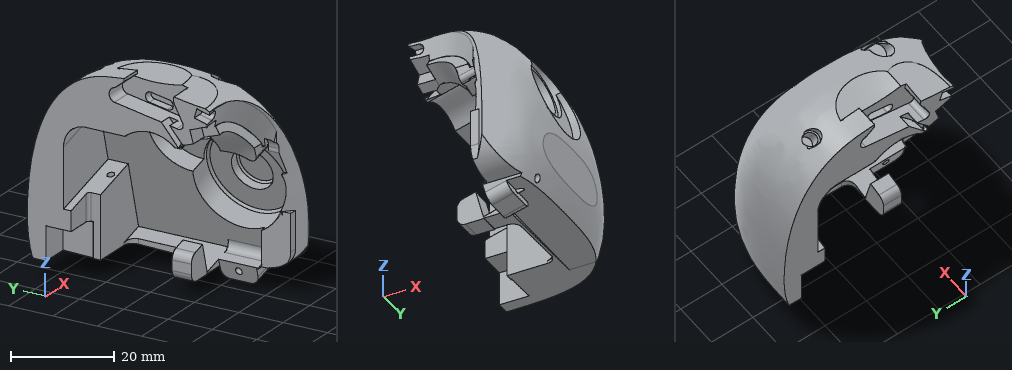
import cadquery as cq
import math

REACH = 60.0

HALF_WIDTH = 27.95
SIDE_CAP = 0.985
BACK, FRONT = 25.4, 29.3
WAIST_Z = -10.5
CROWN, BELLY = 33.23, 22.0
BACK_LENGTH_POWER, FRONT_LENGTH_POWER = 3.0, 2.8
BACK_HEIGHT_POWER, FRONT_HEIGHT_POWER = 2.2, 2.1
BACK_PLAN_POWER, FRONT_PLAN_POWER = 3.15, 3.45
HEIGHT_TAPER_POWER, HEIGHT_TAPER_ROOT = 4.0, 0.62
SECTION_POINTS = 32
SECTION_FRACTIONS = (-0.5, -0.25, 0.0, 0.25, 0.45, 0.6, 0.72, 0.82, 0.9, 0.95, SIDE_CAP)

UNDERSIDE_BACK_Z, UNDERSIDE_SLOPE = -19.25, 0.029
OUTER_UNDERSIDE_Z = -19.5
CHIN_TOP, CHIN_MIDDLE, CHIN_END = (-26.2, -9.0), (-23.3, -16.3), (-16.4, -18.8)

TILT = 15.0
WALL_OUT = 15.5
CEILING_UP, SHELF_UP, FLOOR_UP = 10.3, -7.3, -22.35
CEILING_RADIUS = 5.0
CHAMBER_BACK, CHAMBER_FRONT = 17.2, -10.7
SHELF_FRONT = 12.65
WALL_FRONT = -16.8
INNER_START = -30.0

RIM_START = (0, -15.8)
RIM_CURVE = [(9.0, -16.5), (13.0, -18.0), (18.3, -21.9), (21.4, -25.25)]
RIM_TIP_X, RIM_TIP_Y = 25.0, -29.1
BROW_START = (0, -15.9)
BROW_CURVE = [(9.0, -16.6), (13.0, -18.7), (17.0, -22.9)]
BROW_Z, BROW_DROP, BROW_LEAN = 19.7, 12.0, 2.9
SEAT_TOP, SEAT_TIP = (-14.7, 15.1), (-18.7, 8.6)
SEAT_START, SEAT_SHOULDER = (0, 15.2), (4.1, 15.1)
SEAT_CURVE = [(11.2, 13.1), (13.8, 10.4), (15.0, 8.2)]
SEAT_FOOT_X, SEAT_FOOT_Z = 17.2, 2.0
LEDGE_FRONT, LEDGE_UP = -18.7, 1.9
LEDGE_NOSE_RADIUS, LEDGE_NOSE_END = 1.0, 18.4
RELIEF_X, RELIEF_TOP, RELIEF_RADIUS = 17.4, 9.3, 2.2
TUNNEL_Y = -9.4
TUNNEL_START, TUNNEL_SHOULDER = (0, 11.4), (4.1, 11.35)
TUNNEL_CURVE = [(7.2, 10.9), (10.0, 8.6), (12.2, 4.8), (13.0, 1.6)]
TUNNEL_BOTTOM = -6.0
TUNNEL_LENGTH, TUNNEL_RISE = 14.0, 4.9
CHEEK_X, CHEEK_FRONT, CHEEK_TOP, CHEEK_BOTTOM, CHEEK_RADIUS = 17.9, -23.4, -6.2, -18.8, 4.5

WINDOW_X, WINDOW_RADIUS = 17.3, 2.0
FINGER_X, FINGER_OUT, FINGER_UP = 6.4, 6.77, -15.7
FINGER_BACK, FINGER_FRONT, FINGER_BOTTOM, FINGER_RADIUS = -3.45, -7.85, -20.3, 2.0
TAB_INNER, TAB_OUTER, TAB_FRONT, TAB_LOW = 11.3, 16.25, -16.4, -26.57
TAB_RADIUS, TAB_COVE_RADIUS = 2.0, 1.85
SMALL_HOLE_DIAMETER, TAB_HOLE_UP = 1.5, -24.2
STRIP_BACK, STRIP_RADIUS = 15.5, 0.7
NOTCH_X, NOTCH_FRONT, NOTCH_BACK, NOTCH_TOP = 6.6, 14.36, 21.2, -11.9
SHELF_HOLE_X, SHELF_HOLE_Y, SHELF_HOLE_BOTTOM = 12.7, 14.1, -12.0

EAR_Y, EAR_UP = -2.3, 3.4
EAR_POCKET_DIAMETER, EAR_POCKET_OUT = 17.8, WALL_OUT + 4.3
EAR_HOLE_DIAMETER = 8.0
EAR_STEPS = [(10.2, 20.8), (12.2, 23.8)]
EAR_RECESS_DIAMETER, EAR_RECESS_UP, EAR_RECESS_OUT = 17.0, -0.6, 24.6
LENS_Y, LENS_UP = -12.1, -6.67
LENS_DIAMETER, LENS_OUT, LENS_CHAMFER = 19.9, WALL_OUT + 5.8, 0.5
LENS_SEAT_DIAMETER, LENS_SEAT_OUT, LENS_SEAT_CHAMFER = 9.3, WALL_OUT + 8.2, 0.4

DISH_RADIUS, DISH_CENTER = 30.0, (3.0, -0.2, 51.0)
FRONT_DISH_RADIUS, FRONT_DISH_CENTER = 60.0, (0, -19.6, 80.1)
PAD_FRONT = 3.5
POCKET_DEPTH = 5.0
SLOT_Y, SLOT_Z, SLOT_ANGLE = -1.45, 17.3, 10.0
SLOT_LENGTH, SLOT_WIDTH, SLOT_DEPTH = 6.3, 2.2, 2.0
CHANNEL_OUTLINE = [(-4.7, 15.6), (-8.7, 10.8), (-10.0, 11.2), (-6.3, 15.6)]
CHANNEL_DEPTH = 3.0
KEY_OUTLINE = [(-11.3, 15.1), (-15.0, 16.5), (-16.5, 13.2), (-12.2, 12.0)]
KEY_DEPTH = 4.07
PORT_Y, PORT_Z, PORT_LENGTH, PORT_HEIGHT, PORT_DEPTH, PORT_RADIUS = -12.6, 18.85, 4.4, 2.1, 3.1, 1.0
POCKET_MOUTH_BACK, POCKET_MOUTH_FRONT = 3.4, -8.6
POCKET_LIP = [(POCKET_MOUTH_BACK, 22.1), (5.6, 20.4)]
POCKET_BACK_ARC = [(6.9, 18.8), (5.7, 17.3)]
POCKET_FLOOR_FRONT = (-8.4, 14.75)
POCKET_FRONT_ARC = [(-9.6, 15.1), (-9.6, 16.3)]
POCKET_NECK = (-7.7, 20.0)
POCKET_NECK_ARC = [(-7.7, 21.2), (POCKET_MOUTH_FRONT, 22.0)]
CROWN_HOLE_LEAN = -26.0
REAR_HOLE_DIAMETER, REAR_HOLE_DEPTH, REAR_HOLE_PLACE = 3.0, 4.0, (6.6, 14.1, 19.4)
REAR_MOUTH_DIAMETER, REAR_MOUTH_LEAN, REAR_MOUTH_PLACE = 3.9, -15.0, (6.5, 14.1, 19.6)
FRONT_HOLE_DIAMETER, FRONT_HOLE_DEPTH, FRONT_HOLE_PLACE = 4.5, 3.5, (16.1, -9.9, 18.8)
FRONT_MOUTH_DIAMETER, FRONT_MOUTH_LEAN, FRONT_MOUTH_PLACE = 5.2, 36.0, (17.9, -9.9, 18.0)
HOLE_MOUTH_DEPTH, HOLE_CLEARANCE = 0.4, 10.0


def box(x0, x1, y0, y1, z0, z1):
    return cq.Workplane("XY").box(x1 - x0, y1 - y0, z1 - z0, centered=False).translate((x0, y0, z0))


def tilt(shape):
    """Turn a shape built in (out, y, up) coordinates into its place."""
    return shape.rotate((0, 0, 0), (0, 1, 0), -TILT)


def tilted_box(out0, out1, y0, y1, up0, up1):
    return tilt(box(out0, out1, y0, y1, up0, up1))


def bore(diameter, y, up, out0, out1):
    """Cylinder along the out direction, still to be tilted."""
    return cq.Workplane("YZ", origin=(out0, y, up)).circle(diameter / 2).extrude(out1 - out0)


def signed_power(value, power):
    return math.copysign(abs(value) ** power, value)


def shell_section(fraction):
    """Closed YZ outline of the shell at a fraction of its half width."""
    t = abs(fraction)
    back = BACK * (1 - t ** BACK_PLAN_POWER) ** (1 / BACK_PLAN_POWER)
    front = FRONT * (1 - t ** FRONT_PLAN_POWER) ** (1 / FRONT_PLAN_POWER)
    height_scale = (1 - t ** HEIGHT_TAPER_POWER) ** HEIGHT_TAPER_ROOT
    points = []
    for i in range(SECTION_POINTS):
        angle = 2 * math.pi * (i + 0.5) / SECTION_POINTS
        along, rise = math.cos(angle), math.sin(angle)
        if along > 0:
            reach, length_power, height_power = back, BACK_LENGTH_POWER, BACK_HEIGHT_POWER
        else:
            reach, length_power, height_power = front, FRONT_LENGTH_POWER, FRONT_HEIGHT_POWER
        height = height_scale * (CROWN if rise > 0 else BELLY)
        y = reach * signed_power(along, 2 / length_power)
        z = WAIST_Z + height * signed_power(rise, 2 / height_power)
        points.append(cq.Vector(fraction * HALF_WIDTH / SIDE_CAP, y, z))
    return cq.Wire.assembleEdges([cq.Edge.makeSpline(points, periodic=True)])


def make_shell():
    shell = cq.Workplane(cq.Solid.makeLoft([shell_section(f) for f in SECTION_FRACTIONS]))
    shell = shell.intersect(box(0, REACH, -REACH, REACH, -REACH, REACH))
    front_z = UNDERSIDE_BACK_Z - UNDERSIDE_SLOPE * (BACK + REACH)
    underside = (cq.Workplane("YZ")
                 .polyline([(BACK, UNDERSIDE_BACK_Z), (-REACH, front_z), (-REACH, -REACH), (BACK, -REACH)])
                 .close().extrude(REACH))
    outer_underside = box(CHEEK_X, REACH, -REACH, REACH, -REACH, OUTER_UNDERSIDE_Z)
    chin = (cq.Workplane("YZ").moveTo(*CHIN_TOP).threePointArc(CHIN_MIDDLE, CHIN_END)
            .lineTo(CHIN_END[0], -REACH).lineTo(-REACH, -REACH).lineTo(-REACH, CHIN_TOP[1])
            .close().extrude(REACH))
    return shell.cut(underside).cut(outer_underside).cut(chin)


def seat_half_space(side):
    """Block ahead of (side = -1) or behind (side = +1) the sloping seat plane."""
    stretch = 4
    dy = stretch * (SEAT_TIP[0] - SEAT_TOP[0])
    dz = stretch * (SEAT_TIP[1] - SEAT_TOP[1])
    high = (SEAT_TOP[0] - dy, SEAT_TOP[1] - dz)
    low = (SEAT_TOP[0] + dy, SEAT_TOP[1] + dz)
    outline = [high, low, (side * REACH, low[1]), (side * REACH, high[1])]
    return cq.Workplane("YZ").polyline(outline).close().extrude(REACH)


def seat_prism():
    """Everything under the arched outer edge of the seat."""
    return (cq.Workplane("XZ").moveTo(*SEAT_START).lineTo(*SEAT_SHOULDER)
            .spline(SEAT_CURVE, includeCurrent=True)
            .lineTo(SEAT_FOOT_X, SEAT_FOOT_Z).lineTo(0, SEAT_FOOT_Z).close().extrude(REACH))


def front_opening():
    gap = (cq.Workplane("XY", origin=(0, 0, -REACH)).moveTo(*RIM_START)
           .spline(RIM_CURVE, includeCurrent=True).lineTo(RIM_TIP_X, RIM_TIP_Y)
           .lineTo(RIM_TIP_X, -REACH).lineTo(0, -REACH).close().extrude(2 * REACH))
    brow = (cq.Workplane("XY", origin=(0, 0, BROW_Z)).moveTo(*BROW_START)
            .spline(BROW_CURVE, includeCurrent=True)
            .lineTo(BROW_CURVE[-1][0], -REACH).lineTo(0, -REACH).close())
    brow_lean = cq.Vector(0, BROW_LEAN, -BROW_DROP)
    brow = cq.Workplane(cq.Solid.extrudeLinear(brow.wires().val(), [], brow_lean))
    ledge = seat_prism().intersect(seat_half_space(1)).intersect(box(0, REACH, LEDGE_FRONT, 0, 0, REACH))
    cheek = box(CHEEK_X, REACH, CHEEK_FRONT, 0, CHEEK_BOTTOM, CHEEK_TOP)
    cheek = cheek.edges("|X and <Y and <Z").fillet(CHEEK_RADIUS)
    seat = seat_prism().intersect(seat_half_space(-1))
    return gap.union(brow).cut(ledge).cut(cheek).union(seat)


def front_tunnel():
    """Arched passage that climbs forward from the chamber to the seat."""
    arch = (cq.Workplane("XZ", origin=(0, TUNNEL_Y, 0)).moveTo(*TUNNEL_START).lineTo(*TUNNEL_SHOULDER)
            .spline(TUNNEL_CURVE, includeCurrent=True)
            .lineTo(TUNNEL_CURVE[-1][0], TUNNEL_BOTTOM).lineTo(0, TUNNEL_BOTTOM).close())
    climb = cq.Vector(0, -TUNNEL_LENGTH, TUNNEL_RISE)
    return cq.Workplane(cq.Solid.extrudeLinear(arch.wires().val(), [], climb))


def ledge_relief():
    """Pocket beside the ledge tip, and the rounding of the ledge's lower front edge."""
    pocket = box(SEAT_CURVE[1][0], RELIEF_X, -REACH, LEDGE_FRONT, SEAT_FOOT_Z, RELIEF_TOP)
    pocket = pocket.edges("|Y and >X and >Z").fillet(RELIEF_RADIUS)
    nose_y, nose_up = LEDGE_FRONT + LEDGE_NOSE_RADIUS, LEDGE_UP + LEDGE_NOSE_RADIUS
    nose_size = 6 * LEDGE_NOSE_RADIUS
    nose = box(0, LEDGE_NOSE_END, nose_y - nose_size, nose_y, nose_up - nose_size, nose_up)
    nose = nose.cut(bore(2 * LEDGE_NOSE_RADIUS, nose_y, nose_up, 0, REACH))
    return pocket.union(tilt(nose))


def floor_openings():
    window = box(-1, WINDOW_X, FINGER_BACK, SHELF_FRONT, -REACH, FINGER_UP)
    window = window.edges("|Z and >X").fillet(WINDOW_RADIUS)
    beside_finger = box(-1, FINGER_X, WALL_FRONT, SHELF_FRONT, -REACH, SHELF_UP)
    above_tab = tilted_box(INNER_START, TAB_INNER, WALL_FRONT, FINGER_FRONT, -REACH, FLOOR_UP + 1)
    return window.union(beside_finger).union(above_tab)


def chamber():
    upper = box(INNER_START, WALL_OUT, CHAMBER_FRONT, CHAMBER_BACK, SHELF_UP, CEILING_UP)
    upper = tilt(upper.edges("|X and >Y and >Z").fillet(CEILING_RADIUS))
    lower = tilted_box(INNER_START, WALL_OUT, WALL_FRONT, SHELF_FRONT, FLOOR_UP, LEDGE_UP)
    mouth = tilted_box(INNER_START, WALL_OUT, -REACH, WALL_FRONT, -REACH, LEDGE_UP)
    mouth = mouth.intersect(box(-1, CHEEK_X, -REACH, REACH, -REACH, REACH))
    return upper.union(lower).union(mouth).union(floor_openings())


def finger():
    """Rounded block that stands on the floor strip and points to the split plane."""
    block = tilted_box(0, FINGER_OUT, FINGER_FRONT, FINGER_BACK, -REACH, FINGER_UP)
    block = block.intersect(box(FINGER_X, REACH, FINGER_FRONT, FINGER_BACK, FINGER_BOTTOM, 0))
    return block.edges("|Y and <X").fillet(FINGER_RADIUS)


def tab():
    """Screw tab under the wall, with a concave fillet where the wall meets its top."""
    plate = box(TAB_INNER, TAB_OUTER, TAB_FRONT, FINGER_FRONT, TAB_LOW, FLOOR_UP)
    plate = plate.edges("|X and <Z").fillet(TAB_RADIUS)
    cove_out, cove_up = WALL_OUT - TAB_COVE_RADIUS, FLOOR_UP + TAB_COVE_RADIUS
    cove = box(cove_out, WALL_OUT, WALL_FRONT, FINGER_FRONT, FLOOR_UP, cove_up)
    cove = cove.cut(cq.Workplane("XZ").center(cove_out, cove_up).circle(TAB_COVE_RADIUS).extrude(REACH))
    return tilt(plate.union(cove))


def tab_hole():
    hole_y = (TAB_FRONT + FINGER_FRONT) / 2
    return tilt(bore(SMALL_HOLE_DIAMETER, hole_y, TAB_HOLE_UP, 0, REACH))


def shelf_cuts():
    strip = box(-1, FINGER_X, SHELF_FRONT - 1, STRIP_BACK, -REACH, 0)
    strip = strip.edges("|Z and >X and >Y").fillet(STRIP_RADIUS)
    notch = box(-1, NOTCH_X, NOTCH_FRONT, NOTCH_BACK, -REACH, NOTCH_TOP)
    hole = (cq.Workplane("XY", origin=(SHELF_HOLE_X, SHELF_HOLE_Y, SHELF_HOLE_BOTTOM))
            .circle(SMALL_HOLE_DIAMETER / 2).extrude(-SHELF_HOLE_BOTTOM))
    return strip.union(notch).union(hole)


def ear_bore():
    ear = bore(EAR_POCKET_DIAMETER, EAR_Y, EAR_UP, INNER_START, EAR_POCKET_OUT)
    ear = ear.union(bore(EAR_HOLE_DIAMETER, EAR_Y, EAR_UP, 0, REACH))
    for diameter, out in EAR_STEPS:
        ear = ear.union(bore(diameter, EAR_Y, EAR_UP, out, REACH))
    return tilt(ear.union(bore(EAR_RECESS_DIAMETER, EAR_Y, EAR_RECESS_UP, EAR_RECESS_OUT, REACH)))


def lens_bore():
    pocket_start = WALL_OUT - 5
    pocket = bore(LENS_DIAMETER, LENS_Y, LENS_UP, pocket_start, LENS_OUT)
    pocket = pocket.faces(">X").chamfer(LENS_CHAMFER)
    seat = bore(LENS_SEAT_DIAMETER, LENS_Y, LENS_UP, pocket_start, LENS_SEAT_OUT)
    return tilt(pocket.union(seat.faces(">X").chamfer(LENS_SEAT_CHAMFER)))


def crown_dishes():
    """Two shallow hollows in the crown; the pad behind the pocket stays proud."""
    pad = box(-1, POCKET_DEPTH, PAD_FRONT, BACK, 0, REACH)
    dish = cq.Workplane("XY").sphere(DISH_RADIUS).translate(DISH_CENTER).cut(pad)
    front_dish = cq.Workplane("XY").sphere(FRONT_DISH_RADIUS).translate(FRONT_DISH_CENTER)
    return dish.union(front_dish)


def crown_pocket():
    """Lipped pocket in the split face, open at the crown, with a slot in its side wall."""
    pocket = (cq.Workplane("YZ").moveTo(POCKET_MOUTH_BACK, REACH)
              .lineTo(*POCKET_LIP[0]).lineTo(*POCKET_LIP[1])
              .threePointArc(*POCKET_BACK_ARC).lineTo(*POCKET_FLOOR_FRONT)
              .threePointArc(*POCKET_FRONT_ARC).lineTo(*POCKET_NECK)
              .threePointArc(*POCKET_NECK_ARC).lineTo(POCKET_MOUTH_FRONT, REACH).close()
              .extrude(POCKET_DEPTH))
    slot = (cq.Workplane("YZ").center(SLOT_Y, SLOT_Z).transformed(rotate=(0, 0, SLOT_ANGLE))
            .slot2D(SLOT_LENGTH, SLOT_WIDTH).extrude(POCKET_DEPTH + SLOT_DEPTH))
    return pocket.union(slot)


def split_face_recesses():
    channel = cq.Workplane("YZ").polyline(CHANNEL_OUTLINE).close().extrude(CHANNEL_DEPTH)
    key = cq.Workplane("YZ").polyline(KEY_OUTLINE).close().extrude(KEY_DEPTH)
    port = box(-PORT_DEPTH, PORT_DEPTH, -PORT_LENGTH, 0, -PORT_HEIGHT / 2, PORT_HEIGHT / 2)
    port = port.edges("|Y and >X").fillet(PORT_RADIUS)
    port = port.rotate((0, 0, 0), (1, 0, 0), TILT).translate((0, PORT_Y, PORT_Z))
    return channel.union(key).union(port)


def leaning_bore(place, diameter, lean, depth):
    """Cylinder from a depth below a place on the crown to well above it."""
    cylinder = cq.Workplane("XY", origin=(0, 0, -depth)).circle(diameter / 2).extrude(depth + HOLE_CLEARANCE)
    return cylinder.rotate((0, 0, 0), (0, 1, 0), lean).translate(place)


def crown_holes():
    """Two blind holes with shallow wider mouths."""
    rear = leaning_bore(REAR_HOLE_PLACE, REAR_HOLE_DIAMETER, CROWN_HOLE_LEAN, REAR_HOLE_DEPTH)
    rear_mouth = leaning_bore(REAR_MOUTH_PLACE, REAR_MOUTH_DIAMETER, REAR_MOUTH_LEAN, HOLE_MOUTH_DEPTH)
    front = leaning_bore(FRONT_HOLE_PLACE, FRONT_HOLE_DIAMETER, CROWN_HOLE_LEAN, FRONT_HOLE_DEPTH)
    front_mouth = leaning_bore(FRONT_MOUTH_PLACE, FRONT_MOUTH_DIAMETER, FRONT_MOUTH_LEAN, HOLE_MOUTH_DEPTH)
    return rear.union(rear_mouth).union(front).union(front_mouth)


body = make_shell()
body = body.cut(front_opening()).cut(front_tunnel()).cut(ledge_relief())
body = body.cut(chamber()).cut(shelf_cuts())
body = body.union(tab()).union(finger()).cut(tab_hole())
body = body.cut(ear_bore()).cut(lens_bore())
body = body.cut(crown_dishes()).cut(crown_pocket()).cut(split_face_recesses()).cut(crown_holes())
result = body